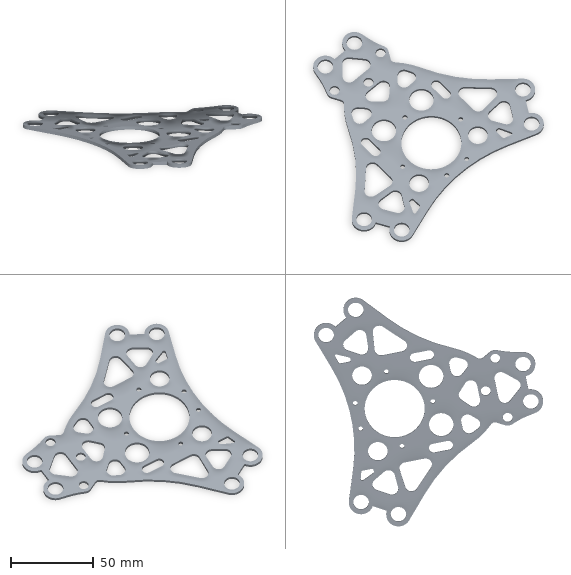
import cadquery as cq
import math

plate_width = 146.5
thickness = 2.0
bore_diameter = 36.6

arm_centre_y = 13.2
arm_angles = (0, 120, 240)
lug_half_spacing = 12.0
lug_radius = 7.5
lug_hole_diameter = 9.5
lower_arm_slope = math.radians(30)
arm_reach = (
    plate_width / 2 - lug_radius - lug_half_spacing * math.sin(lower_arm_slope)
) / math.cos(lower_arm_slope)

side_reach = 40.3
side_radius = 102.5

ear_x = 19.0
ear_y = 66.3
ear_radius = 5.0
ear_hole_diameter = 6.0
neck_corner = (19.6, 57.1)
neck_fillet = 3
shoulder_start_y = 41.9
ear_blend_y = 78.5

motor_circle_y = -0.3
motor_circle_radius = 24.0
motor_hole_angles = (0, 90, 180, 250, 290)
motor_hole_diameter = 3
upper_hole_x = 15.5
upper_hole_y = 25.8
upper_hole_diameter = 15.0
lower_hole_x = 24.3
lower_hole_y = -15.4
lower_hole_diameter = 12.0
neck_hole_y = 56.5
neck_hole_diameter = 6.0

slot_x = 29.1
slot_y = 22.8
slot_length = 15.0
slot_width = 6.0

window_radius = 4.0
small_window_radius = 1.0
centre_windows = [
    [(-6.2, 67.2), (6.2, 67.2), (0, 74.3)],
    [(-4.7, 48.2), (4.7, 48.2), (0, 43.8)],
]
side_windows = [
    [(16.1, 42.0), (20.6, 42.0), (19.0, 45.3)],
    [(38.2, -0.7), (49.5, 0.5), (38.2, 11.4)],
    [(41.0, -12.2), (49.2, -11.7), (45.0, -18.9)],
]
small_window = [(36.5, -21.2), (35.3, -21.2), (35.3, -26.8), (39.7, -28.1)]


def polar(centre, radius, angle):
    """Point at a radius and angle (degrees) from a centre."""
    turn = math.radians(angle)
    return (centre[0] + radius * math.cos(turn), centre[1] + radius * math.sin(turn))


def heading(start, end):
    """Direction in degrees from one point to another."""
    return math.degrees(math.atan2(end[1] - start[1], end[0] - start[0]))


def arm_point(across, along, turn):
    """Point of the upward arm, turned about the arm centre by an angle in degrees."""
    reach = math.hypot(across, along)
    return polar((0, arm_centre_y), reach, heading((0, 0), (across, along)) + turn)


right_turn = -120
right_arm_angle = 90 + right_turn
right_side_angle = 30
notch_angle = 60
lower_lug = arm_point(lug_half_spacing, arm_reach, right_turn)
outer_lug = arm_point(-lug_half_spacing, arm_reach, right_turn)
upper_lug = (lug_half_spacing, arm_centre_y + arm_reach)

bottom_arc_centre = (0, arm_centre_y - side_reach - side_radius)
right_arc_centre = polar((0, arm_centre_y), side_reach + side_radius, right_side_angle)
flank_angle = heading(bottom_arc_centre, lower_lug) + math.degrees(
    math.acos((side_radius + lug_radius) / math.dist(bottom_arc_centre, lower_lug))
)
flank_tilt = 90 - flank_angle
lower_flank_normal = right_side_angle + flank_tilt
upper_flank_normal = right_side_angle - flank_tilt
bottom_arc_end = polar(bottom_arc_centre, side_radius, flank_angle)
lower_lug_start = polar(lower_lug, lug_radius, flank_angle + 180)
lower_lug_end = polar(lower_lug, lug_radius, notch_angle)
outer_lug_end = polar(outer_lug, lug_radius, lower_flank_normal)
right_arc_start = polar(right_arc_centre, side_radius, lower_flank_normal + 180)
upper_lug_start = polar(upper_lug, lug_radius, upper_flank_normal)

shoulder_angle = 180 - math.degrees(math.asin((shoulder_start_y - right_arc_centre[1]) / side_radius))
shoulder_start = polar(right_arc_centre, side_radius, shoulder_angle)
right_arc_middle_angle = (lower_flank_normal + 180 + shoulder_angle) / 2
right_arc_middle = polar(right_arc_centre, side_radius, right_arc_middle_angle)

ear = (ear_x, ear_y)
ear_start_angle = heading(ear, neck_corner) + math.degrees(
    math.acos(ear_radius / math.dist(ear, neck_corner))
)
blend_end = (
    upper_lug_start[0] + (upper_lug_start[1] - ear_blend_y) * math.tan(math.radians(upper_flank_normal)),
    ear_blend_y,
)
ear_to_blend = math.dist(ear, blend_end)
ear_offset = ear_to_blend * math.cos(math.radians(heading(ear, blend_end) - upper_flank_normal))
blend_radius = (ear_to_blend**2 - ear_radius**2) / (2 * (ear_radius - ear_offset))
blend_centre = polar(blend_end, blend_radius, upper_flank_normal)
ear_end_angle = heading(ear, blend_centre)
blend_middle_angle = (ear_end_angle + upper_flank_normal) / 2 + 180


def make_plate():
    """Outline of the right half, mirrored to the left and extruded."""
    half = (
        cq.Workplane("XY")
        .moveTo(*polar(bottom_arc_centre, side_radius, 90))
        .threePointArc(polar(bottom_arc_centre, side_radius, (90 + flank_angle) / 2), bottom_arc_end)
        .lineTo(*lower_lug_start)
        .threePointArc(polar(lower_lug, lug_radius, right_arm_angle), lower_lug_end)
        .lineTo(*polar(outer_lug, lug_radius, notch_angle + 180))
        .threePointArc(polar(outer_lug, lug_radius, right_arm_angle), outer_lug_end)
        .lineTo(*right_arc_start)
        .threePointArc(right_arc_middle, shoulder_start)
        .tangentArcPoint(neck_corner, relative=False)
        .lineTo(*polar(ear, ear_radius, ear_start_angle))
        .threePointArc(polar(ear, ear_radius, 0), polar(ear, ear_radius, ear_end_angle))
        .threePointArc(polar(blend_centre, blend_radius, blend_middle_angle), blend_end)
        .lineTo(*upper_lug_start)
        .threePointArc(polar(upper_lug, lug_radius, 90), polar(upper_lug, lug_radius, 180))
        .lineTo(0, upper_lug[1])
    )
    plate = half.mirrorY().extrude(thickness)
    for side in (-1, 1):
        corner = (side * neck_corner[0], neck_corner[1], thickness / 2)
        neck = cq.selectors.NearestToPointSelector(corner)
        plate = plate.edges("|Z").edges(neck).fillet(neck_fillet)
    return plate


def mirrored(points):
    """The same points on the left of the symmetry plane."""
    return [(-x, y) for x, y in points]


def pair(x, y):
    """A point and its mirror image."""
    return [(x, y), (-x, y)]


def cut_holes(plate, centres, diameter):
    """Cut equal round holes through the plate."""
    return plate.cut(
        cq.Workplane("XY").pushPoints(centres).circle(diameter / 2).extrude(thickness)
    )


def cut_window(plate, corner_centres, radius):
    """Cut a polygonal window whose corners are rounded about the given centres."""
    window = cq.Workplane("XY").polyline(corner_centres).close().offset2D(radius)
    return plate.cut(window.extrude(thickness))


result = make_plate()

lug_holes = [
    arm_point(side * lug_half_spacing, arm_reach, turn) for turn in arm_angles for side in (-1, 1)
]
motor_holes = [polar((0, motor_circle_y), motor_circle_radius, angle) for angle in motor_hole_angles]

result = cut_holes(result, [(0, 0)], bore_diameter)
result = cut_holes(result, lug_holes, lug_hole_diameter)
result = cut_holes(result, motor_holes, motor_hole_diameter)
result = cut_holes(result, pair(ear_x, ear_y), ear_hole_diameter)
result = cut_holes(result, pair(upper_hole_x, upper_hole_y), upper_hole_diameter)
result = cut_holes(result, pair(lower_hole_x, lower_hole_y), lower_hole_diameter)
result = cut_holes(result, [(0, neck_hole_y)], neck_hole_diameter)

slots = cq.Workplane("XY").pushPoints(pair(slot_x, slot_y)).slot2D(slot_length, slot_width, 90)
result = result.cut(slots.extrude(thickness))

for corners in centre_windows:
    result = cut_window(result, corners, window_radius)
for corners in side_windows:
    result = cut_window(result, corners, window_radius)
    result = cut_window(result, mirrored(corners), window_radius)
result = cut_window(result, small_window, small_window_radius)
result = cut_window(result, mirrored(small_window), small_window_radius)